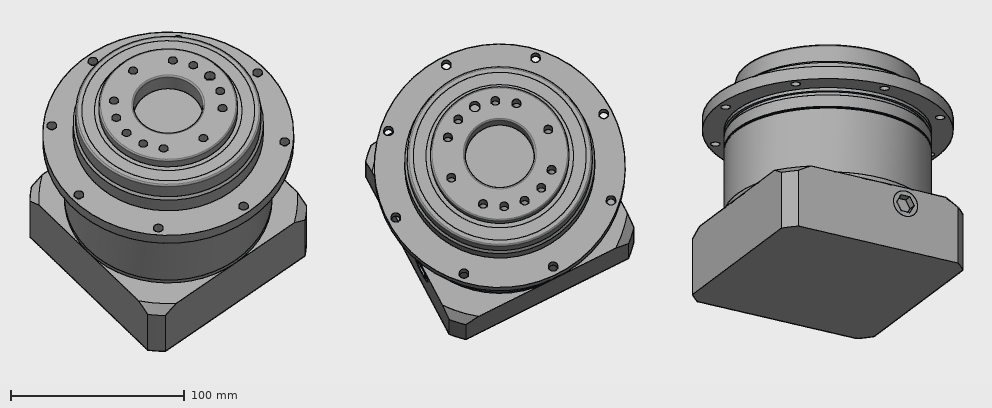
import cadquery as cq
import math

base_width = 120.0
base_height = 40.0
corner_dia = 160.0
corner_slope_width = 5.2
corner_slope_height = 4.6
base_boss_height = 2.8

body_dia = base_width
joint_groove_bottom = 83.5
joint_groove_width = 0.9
joint_groove_depth = 0.6
seat_groove_bottom = 91.6
seat_groove_width = 2.6
seat_groove_dia = 116.9
flange_bottom = 96.3
flange_top = 104.1
flange_dia = 145
pilot_dia = 109.9
nose_foot = 116
nose_top = 126.7
nose_dia = 107.0
nose_fillet = 1.0

flange_hole_count = 8
flange_hole_circle_dia = 135.0
flange_hole_dia = 5.5

seal_outer_dia = 99.9
seal_inner_dia = 85.3
seal_height = 8.7

output_top = 133.0
rim_dia = 80.0
rim_fillet = 0.9
bore_dia = 40.0
bore_depth = 12.2
bore_fillet = 1.0

output_hole_circle_dia = 63.0
core_hole_dia = 5.1
core_hole_depth = 10.2
drill_tip_angle = 118
core_hole_angles = [0, 45, 67.5, 112.5, 135, 180, 225, 247.5, 270, 292.5, 315]
dowel_hole_dia = 6.1
dowel_hole_depth = 7.2
dowel_hole_angle = 90

plug_dia = 16
plug_length = 8.7
plug_y = -18.0
plug_z = 30.0
hex_across_flats = 10.0
hex_depth = 5.1

base_top = base_height + base_boss_height
joint_groove_top = joint_groove_bottom + joint_groove_width
seat_groove_top = seat_groove_bottom + seat_groove_width
seal_bottom = nose_top - seal_height
body_radius = body_dia / 2
joint_groove_radius = body_radius - joint_groove_depth
seat_groove_radius = seat_groove_dia / 2
flange_radius = flange_dia / 2
pilot_radius = pilot_dia / 2
nose_radius = nose_dia / 2
pilot_top = nose_foot - (pilot_radius - nose_radius)


def disc(diameter, bottom, top):
    """Upright cylinder on the Z axis between two heights."""
    return cq.Workplane("XY").workplane(offset=bottom).circle(diameter / 2).extrude(top - bottom)


def turned(outline):
    """Solid of revolution about Z from (radius, height) points."""
    return cq.Workplane("XZ").polyline(outline).close().revolve(360, (0, 0), (0, 1))


def place_on_circle(shape, circle_dia, angle):
    """Move a shape from the Z axis onto a circle around it, at an angle from +X."""
    return shape.translate((circle_dia / 2, 0, 0)).rotate((0, 0, 0), (0, 0, 1), angle)


def plug_face():
    """Workplane on the -X face of the base, centred on the plug and facing inwards."""
    return cq.Workplane("YZ", origin=(-base_width / 2, plug_y, plug_z))


def make_plug_blank():
    return plug_face().circle(plug_dia / 2).extrude(plug_length)


def make_base():
    block = cq.Workplane("XY").rect(base_width, base_width).extrude(base_height)
    corner_radius = corner_dia / 2
    turned_corners = turned([
        (0, 0),
        (corner_radius, 0),
        (corner_radius, base_height - corner_slope_height),
        (corner_radius - corner_slope_width, base_height),
        (0, base_height),
    ])
    boss = disc(body_dia, base_height, base_top)
    return block.intersect(turned_corners).union(boss).cut(make_plug_blank())


def make_plug():
    hex_across_corners = hex_across_flats / math.cos(math.radians(30))
    socket = plug_face().polygon(6, hex_across_corners).extrude(hex_depth)
    return make_plug_blank().cut(socket)


def make_housing():
    body = turned([
        (0, base_top),
        (body_radius, base_top),
        (body_radius, joint_groove_bottom),
        (joint_groove_radius, joint_groove_bottom),
        (joint_groove_radius, joint_groove_top),
        (body_radius, joint_groove_top),
        (body_radius, seat_groove_bottom),
        (seat_groove_radius, seat_groove_bottom),
        (seat_groove_radius, seat_groove_top),
        (body_radius, seat_groove_top),
        (body_radius, flange_bottom),
        (flange_radius, flange_bottom),
        (flange_radius, flange_top),
        (pilot_radius, flange_top),
        (pilot_radius, pilot_top),
        (nose_radius, nose_foot),
        (nose_radius, nose_top),
        (0, nose_top),
    ])
    body = body.faces(">Z").edges().fillet(nose_fillet)

    hole = disc(flange_hole_dia, flange_bottom, flange_top)
    for index in range(flange_hole_count):
        angle = index * 360 / flange_hole_count
        body = body.cut(place_on_circle(hole, flange_hole_circle_dia, angle))

    seal_recess = disc(seal_outer_dia, seal_bottom, nose_top)
    return body.cut(seal_recess)


def make_seal():
    shaft_opening = disc(seal_inner_dia, seal_bottom, nose_top)
    return disc(seal_outer_dia, seal_bottom, nose_top).cut(shaft_opening)


def make_core_hole():
    """Drilled hole on the Z axis, with a conical tip below its full-width depth."""
    radius = core_hole_dia / 2
    tip_height = radius / math.tan(math.radians(drill_tip_angle / 2))
    floor = output_top - core_hole_depth
    return turned([(0, floor - tip_height), (radius, floor), (radius, output_top), (0, output_top)])


def make_output_flange():
    collar = disc(seal_inner_dia, seal_bottom, nose_top)
    rim = disc(rim_dia, nose_top, output_top).faces(">Z").edges().fillet(rim_fillet)
    flange = collar.union(rim)

    bore = disc(bore_dia, output_top - bore_depth, output_top)
    flange = flange.cut(bore)
    bore_mouth = cq.selectors.RadiusNthSelector(0)
    flange = flange.faces(">Z").edges(bore_mouth).fillet(bore_fillet)

    core_hole = make_core_hole()
    for angle in core_hole_angles:
        flange = flange.cut(place_on_circle(core_hole, output_hole_circle_dia, angle))

    dowel_hole = disc(dowel_hole_dia, output_top - dowel_hole_depth, output_top)
    return flange.cut(place_on_circle(dowel_hole, output_hole_circle_dia, dowel_hole_angle))


base = make_base()
plug = make_plug()
housing = make_housing()
seal = make_seal()
output_flange = make_output_flange()

result = cq.Compound.makeCompound([
    base.val(),
    plug.val(),
    housing.val(),
    seal.val(),
    output_flange.val(),
])